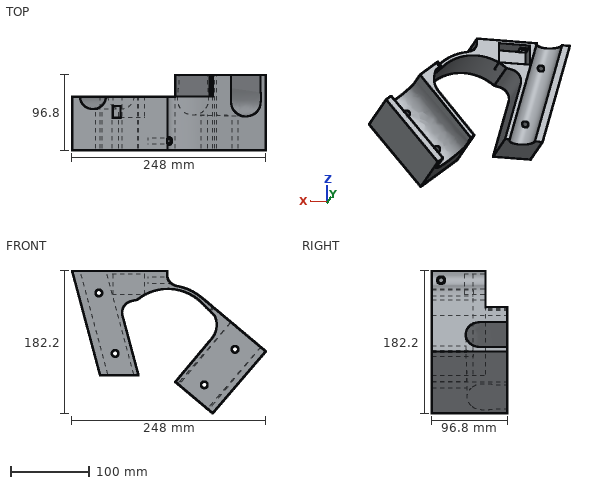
import cadquery as cq
import math


total_width = 248.0
total_height = 182.21
full_depth = 96.8
body_depth = 69.0

body_top_length = 121.9
leg_slant = math.radians(15)
left_leg_height = 133.7
left_leg_width = 49.4
left_bore_radius = 16.0
left_axis_x = 26.8
slant_run = math.tan(leg_slant)

arch_x, arch_z = 122.6, -85.1
arch_radius = 62.0
bridge_thickness = 5.0
outer_radius = arch_radius + bridge_thickness
neck_radius = 14.5
arch_left_x = 83.5
arch_right_x = 168.0

left_corner_top = (75.2, -38.9)
left_corner_mid = (66.6, -45.2)
left_corner_z = -58.5
right_corner_top = (182.2, -57.0)
right_corner_x = 178.6

slope = math.radians(40)
along_slope = (math.cos(slope), -math.sin(slope))
down_leg = (-math.sin(slope), -math.cos(slope))
top_tangent = (arch_x + outer_radius * math.sin(slope), arch_z + outer_radius * math.cos(slope))
slope_end = (total_width, top_tangent[1] - (total_width - top_tangent[0]) * math.tan(slope))
leg_top_width = 63.7
leg_length = 104.5
leg_corner = (slope_end[0] - leg_top_width * along_slope[0], slope_end[1] - leg_top_width * along_slope[1])
leg_foot = (leg_corner[0] + leg_length * down_leg[0], leg_corner[1] + leg_length * down_leg[1])
foot_width = (total_height + leg_foot[1]) / math.sin(slope)
foot_tip = (leg_foot[0] + foot_width * along_slope[0], -total_height)

lip_tip_x = 180.1
lip_groove_offset = 2.2
lip_groove_width = 1.5
lip_groove_depth = 2.0

channel_top = dict(near_wall=5.5, width=49.6, wall_end=74.0, half_width=24.8, round_start=62.0, floor=43.6)
channel_foot = dict(near_wall=6.0, width=47.6, wall_end=84.0, half_width=25.8, round_start=65.0, floor=45.3)
floor_steps = 8

screw_diameter = 8.2
left_screw_z = (-28.2, -105.6)
right_screws = ((208.5, -100.4), (169.2, -145.7))
cable_diameter = 8.0
cable_y, cable_z = 12.1, -12.0
cable_depth = 25.0
cable_chamfer = 1.1

window_x, window_y = (51.6, 62.3), (41.3, 57.0)
roof_thickness = 4.0
ledge = 0.8
chamber_right = 93.0
chamber_floor = -30.0


def left_leg_inner_x(z):
    """X of the inner side of the left leg at height z."""
    return left_leg_width - slant_run * z


def arch_point(x, radius):
    """Point at x on the upper half of a circle about the arch centre."""
    return (x, arch_z + math.sqrt(radius ** 2 - (x - arch_x) ** 2))


def make_outline():
    """Full arch-shaped silhouette with both legs."""
    neck_x = body_top_length + neck_radius
    neck_z = arch_z + math.sqrt((outer_radius + neck_radius) ** 2 - (neck_x - arch_x) ** 2)
    neck_end_x = arch_x + (neck_x - arch_x) * outer_radius / (outer_radius + neck_radius)
    neck_end = arch_point(neck_end_x, outer_radius)
    half_turn = (math.pi + math.atan2(neck_end[1] - neck_z, neck_end[0] - neck_x) % (2 * math.pi)) / 2
    neck_mid = (neck_x + neck_radius * math.cos(half_turn), neck_z + neck_radius * math.sin(half_turn))
    outer_mid = arch_point((neck_end[0] + top_tangent[0]) / 2, outer_radius)
    corner_along = (leg_corner[0] - right_corner_x) / math.sin(slope)
    right_corner_end = (right_corner_x, leg_corner[1] + corner_along * down_leg[1])
    return (
        cq.Workplane("XZ")
        .moveTo(0, 0)
        .lineTo(body_top_length, 0)
        .lineTo(body_top_length, neck_z)
        .threePointArc(neck_mid, neck_end)
        .threePointArc(outer_mid, top_tangent)
        .lineTo(*slope_end)
        .lineTo(*foot_tip)
        .lineTo(*leg_foot)
        .lineTo(*right_corner_end)
        .tangentArcPoint(right_corner_top, relative=False)
        .lineTo(*arch_point(arch_right_x, arch_radius))
        .threePointArc((arch_x, arch_z + arch_radius), arch_point(arch_left_x, arch_radius))
        .lineTo(*left_corner_top)
        .threePointArc(left_corner_mid, (left_leg_inner_x(left_corner_z), left_corner_z))
        .lineTo(left_leg_inner_x(-left_leg_height), -left_leg_height)
        .lineTo(slant_run * left_leg_height, -left_leg_height)
        .close()
    )


def lip_frame():
    """Plane at the lip tip: local x up the slope, local y out of the sloping top."""
    tip_z = top_tangent[1] - (lip_tip_x - top_tangent[0]) * math.tan(slope)
    return cq.Plane(
        origin=(lip_tip_x, body_depth, tip_z),
        xDir=(-along_slope[0], 0, -along_slope[1]),
        normal=(0, 1, 0),
    )


def rear_clearance():
    """Everything up the slope from the lip, behind the body."""
    rear_depth = full_depth - body_depth
    span = total_width + total_height
    block = cq.Workplane(lip_frame()).center(span / 2, 0).rect(span, 2 * span).extrude(rear_depth)
    groove = (
        cq.Workplane(lip_frame())
        .center(-lip_groove_depth / 2, -lip_groove_offset - lip_groove_width / 2)
        .rect(lip_groove_depth, lip_groove_width)
        .extrude(rear_depth)
    )
    return block.union(groove)


def channel_section(plane, size):
    """U section: straight walls that flare into a half-elliptic floor."""
    left = size["near_wall"]
    right = left + size["width"]
    half = size["half_width"]
    centre = (left + right) / 2
    start = size["round_start"]
    drop = start - size["floor"]
    curve_points = []
    for i in range(floor_steps + 1):
        angle = math.pi * i / floor_steps
        curve_points.append((centre - half * math.cos(angle), start - drop * math.sin(angle)))
    curve_points.append((right, size["wall_end"]))
    return (
        cq.Workplane(plane)
        .moveTo(left, full_depth)
        .lineTo(left, size["wall_end"])
        .spline(curve_points, includeCurrent=True)
        .lineTo(right, full_depth)
        .close()
        .wires()
        .val()
    )


def right_leg_channel():
    """Tunnel along the right leg, lofted between its two end sections."""
    sections = []
    for corner, size in ((leg_corner, channel_top), (leg_foot, channel_foot)):
        plane = cq.Plane(
            origin=(corner[0], 0, corner[1]),
            xDir=(along_slope[0], 0, along_slope[1]),
            normal=(-down_leg[0], 0, -down_leg[1]),
        )
        sections.append(channel_section(plane, size))
    return cq.Workplane(cq.Solid.makeLoft(sections, True))


def left_leg_channel():
    """Half-round channel parallel to the left leg, along its rear face."""
    direction = cq.Vector(math.sin(leg_slant), 0, -math.cos(leg_slant))
    overrun = left_bore_radius
    start = cq.Vector(left_axis_x, body_depth, 0) - direction * overrun
    length = left_leg_height / math.cos(leg_slant) + 2 * overrun
    return cq.Workplane(cq.Solid.makeCylinder(left_bore_radius, length, start, direction))


def screw_holes():
    """Through holes along Y, two in each leg."""
    centres = [(left_axis_x - slant_run * z, z) for z in left_screw_z]
    centres.extend(right_screws)
    return cq.Workplane("XZ").pushPoints(centres).circle(screw_diameter / 2).extrude(-full_depth)


def box_between(x_range, y_range, z_range):
    """Box spanning the given (low, high) ranges."""
    size = [high - low for low, high in (x_range, y_range, z_range)]
    corner = (x_range[0], y_range[0], z_range[0])
    return cq.Workplane(cq.Solid.makeBox(*size, cq.Vector(*corner)))


def window_and_chamber():
    """Window through the roof into a chamber that opens at the rear face of the body."""
    window = box_between(window_x, window_y, (-roof_thickness, 0))
    chamber = box_between(
        (window_x[0] + ledge, chamber_right),
        (window_y[0] + ledge, body_depth),
        (chamber_floor, -roof_thickness),
    )
    return window.union(chamber)


def add_cable_hole(body):
    """Blind hole along X in the concave neck, with a chamfered mouth."""
    neck_mouth_x = body_top_length + neck_radius
    bore = cq.Solid.makeCylinder(
        cable_diameter / 2,
        cable_depth + neck_radius,
        cq.Vector(body_top_length - cable_depth, cable_y, cable_z),
        cq.Vector(1, 0, 0),
    )
    drilled = body.cut(cq.Workplane(bore))
    reach = cable_diameter / 2 + cable_chamfer
    mouth = cq.selectors.BoxSelector(
        (body_top_length - cable_chamfer, cable_y - reach, cable_z - reach),
        (neck_mouth_x, cable_y + reach, cable_z + reach),
        boundingbox=True,
    )
    return drilled.edges(mouth).chamfer(cable_chamfer)


result = make_outline().extrude(-full_depth)
result = result.cut(rear_clearance())
result = add_cable_hole(result)
result = result.cut(left_leg_channel())
result = result.cut(right_leg_channel())
result = result.cut(screw_holes())
result = result.cut(window_and_chamber())